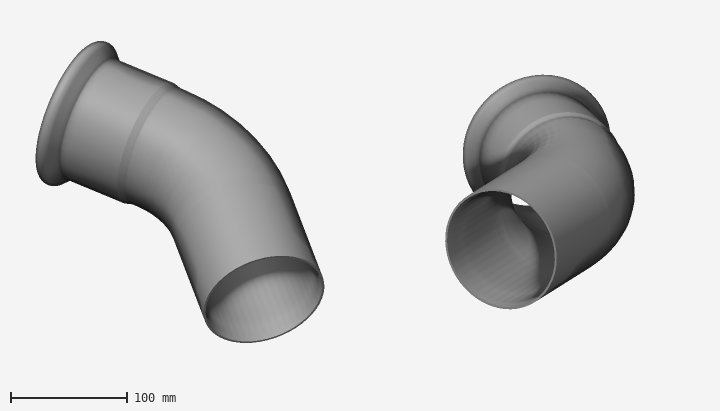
import cadquery as cq
import math

wall = 1.88
pipe_diameter = 108.1
socket_diameter = 112.0
rim_diameter = 133.0
lip_diameter = 108.0
stop_diameter = 102.0
bead_center_diameter = 118.0
fillet_radius = 1.7

socket_end = 77.5
neck_start = 84.5
bend_start = 88.2

bend_radius = 129.8
bend_angle = 45.0
collar_length = 14.0
spigot_length = 100.3

pipe_radius = pipe_diameter / 2
pipe_bore_radius = pipe_radius - wall
rim_radius = rim_diameter / 2
lip_radius = lip_diameter / 2
stop_radius = stop_diameter / 2
bead_center_radius = bead_center_diameter / 2
socket_radius = socket_diameter / 2
socket_bore_radius = socket_radius - wall

bead_radius = rim_radius - bead_center_radius
bead_front_angle = -math.pi / 2
flare_angle = math.radians(45)

fillet_center_radius = socket_radius + fillet_radius
fillet_rise = fillet_center_radius - bead_center_radius
flare_normal_distance = bead_radius + fillet_radius
fillet_offset = (flare_normal_distance - fillet_rise * math.cos(flare_angle)) / math.sin(flare_angle)
fillet_center_x = bead_radius + fillet_offset


def bead_point(radius, angle):
    """Point on a bead arc; angle turns from radially outward toward the bend."""
    return (
        bead_radius + radius * math.sin(angle),
        bead_center_radius + radius * math.cos(angle),
    )


def flare_point(radius, angle):
    """Point on a flare fillet arc; angle turns from radially inward toward the mouth."""
    return (
        fillet_center_x - radius * math.sin(angle),
        fillet_center_radius - radius * math.cos(angle),
    )


def make_socket():
    """Revolve the thin-walled socket, rim and neck about the X axis."""
    inner_bead = bead_radius - wall
    profile = (
        cq.Workplane("XY")
        .moveTo(0, lip_radius)
        .lineTo(*bead_point(bead_radius, bead_front_angle))
        .threePointArc(bead_point(bead_radius, 0), bead_point(bead_radius, flare_angle))
        .lineTo(*flare_point(fillet_radius, flare_angle))
        .threePointArc(flare_point(fillet_radius, flare_angle / 2), flare_point(fillet_radius, 0))
        .lineTo(socket_end, socket_radius)
        .lineTo(neck_start, pipe_radius)
        .lineTo(bend_start, pipe_radius)
        .lineTo(bend_start, stop_radius)
        .lineTo(neck_start, stop_radius)
        .lineTo(socket_end, socket_bore_radius)
        .lineTo(*flare_point(fillet_radius + wall, 0))
        .threePointArc(
            flare_point(fillet_radius + wall, flare_angle / 2),
            flare_point(fillet_radius + wall, flare_angle),
        )
        .lineTo(*bead_point(inner_bead, flare_angle))
        .threePointArc(bead_point(inner_bead, 0), bead_point(inner_bead, bead_front_angle))
        .lineTo(wall, lip_radius)
        .close()
    )
    return profile.revolve(360, (0, 0, 0), (1, 0, 0))


def pipe_ring(plane):
    """Annular cross-section of the pipe."""
    return cq.Workplane(plane).circle(pipe_radius).circle(pipe_bore_radius)


def make_bend():
    """Sweep the pipe wall through the bend toward -Y."""
    plane = cq.Plane(origin=(bend_start, 0, 0), xDir=(0, 1, 0), normal=(1, 0, 0))
    return pipe_ring(plane).revolve(bend_angle, (-bend_radius, 3, 0), (-bend_radius, 0, 0))


def make_spigot():
    """Straight pipe after the bend, in a short collar length and the insertion length."""
    angle = math.radians(bend_angle)
    direction = cq.Vector(math.cos(angle), -math.sin(angle), 0)
    start = cq.Vector(
        bend_start + bend_radius * math.sin(angle),
        -bend_radius * (1 - math.cos(angle)),
        0,
    )
    collar_plane = cq.Plane(origin=start, xDir=(0, 0, 1), normal=direction)
    insertion_plane = cq.Plane(
        origin=start + direction * collar_length, xDir=(0, 0, 1), normal=direction
    )
    collar = pipe_ring(collar_plane).extrude(collar_length)
    insertion = pipe_ring(insertion_plane).extrude(spigot_length - collar_length)
    return collar.union(insertion, clean=False)


result = make_socket().union(make_bend(), clean=False).union(make_spigot(), clean=False)